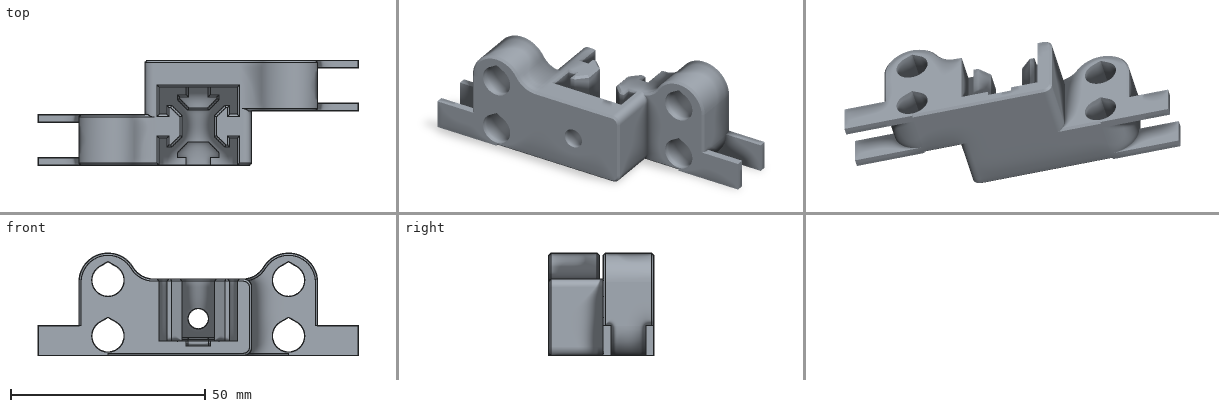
import cadquery as cq
import math

length = 82.4
depth = 27.0
body_width = 27.5
body_height = 19.7
body_corner_radius = 2.15
edge_chamfer = 0.6

ear_thickness = 13.0
ear_radius = 7.5
ear_x = 23.2
ear_height = 26.4
blend_radius = 6.3

tab_thickness = 2.0
tab_height = 7.7

teardrop_radius = 4.1
teardrop_roof_angle = math.radians(30)
teardrop_heights = (5.0, 19.4)

socket_size = 20.1
socket_floor = 3.7
socket_center_y = socket_size / 2
screw_hole_diameter = 5.2
screw_hole_height = 9.5

key_neck_width = 6.2
key_neck_length = 2.0
key_head_width = 10.7
key_shoulder_end = 3.2
key_length = 5.9
key_tip_width = 5.35
key_root = 2 * edge_chamfer
low_key_height = 1.0
key_recess_depth = 1.2


def front_plane(y=0.0):
    """XZ sketch plane at the given y; a negative extrusion runs toward +Y."""
    return cq.Workplane("XZ", origin=(0, y, 0))


def half_turn(shape):
    """Copy turned half a turn about the vertical axis through the part's middle."""
    return shape.rotate((0, depth / 2, 0), (0, depth / 2, 1), 180)


def make_block():
    """Central block with rounded long edges and chamfered end faces."""
    return (
        cq.Workplane("XY")
        .box(body_width, depth, body_height, centered=(True, False, False))
        .edges("|Y")
        .fillet(body_corner_radius)
        .faces("<Y or >Y")
        .chamfer(edge_chamfer)
    )


def make_ear_plate():
    """Front plate: the left ear blends into the block's top and right side."""
    ear_top_z = ear_height - ear_radius
    blend_z = body_height + blend_radius
    center_distance = ear_radius + blend_radius
    blend_angle = math.asin((blend_z - ear_top_z) / center_distance)
    blend_x = -ear_x + center_distance * math.cos(blend_angle)
    tangent_x = -ear_x + ear_radius * math.cos(blend_angle)
    tangent_z = ear_top_z + ear_radius * math.sin(blend_angle)
    mid_angle = (math.pi + blend_angle + 1.5 * math.pi) / 2
    blend_mid = (
        blend_x + blend_radius * math.cos(mid_angle),
        blend_z + blend_radius * math.sin(mid_angle),
    )
    diagonal = math.sqrt(0.5)
    right_x = body_width / 2
    corner_x = right_x - body_corner_radius
    corner_inset = body_corner_radius * (1 - diagonal)
    outline = (
        front_plane()
        .moveTo(-ear_x, 0)
        .threePointArc(
            (-ear_x - ear_radius * diagonal, ear_radius * (1 - diagonal)),
            (-ear_x - ear_radius, ear_radius),
        )
        .lineTo(-ear_x - ear_radius, ear_top_z)
        .threePointArc((-ear_x, ear_height), (tangent_x, tangent_z))
        .threePointArc(blend_mid, (blend_x, body_height))
        .lineTo(corner_x, body_height)
        .threePointArc(
            (right_x - corner_inset, body_height - corner_inset),
            (right_x, body_height - body_corner_radius),
        )
        .lineTo(right_x, body_corner_radius)
        .threePointArc((right_x - corner_inset, corner_inset), (corner_x, 0))
        .close()
    )
    return outline.extrude(-ear_thickness).faces("<Y or >Y").chamfer(edge_chamfer)


def make_tab(y):
    """Flat tab from the ear's axis to the end of the part."""
    return (
        cq.Workplane("XY")
        .box(length / 2 - ear_x, tab_thickness, tab_height, centered=False)
        .translate((-length / 2, y, 0))
    )


def make_teardrop(z):
    """Cutter for a round hole whose top rises to a shallow peak."""
    side_x = teardrop_radius * math.sin(teardrop_roof_angle)
    side_z = z + teardrop_radius * math.cos(teardrop_roof_angle)
    peak_z = z + teardrop_radius / math.cos(teardrop_roof_angle)
    return (
        front_plane()
        .moveTo(-ear_x - side_x, side_z)
        .threePointArc((-ear_x, z - teardrop_radius), (-ear_x + side_x, side_z))
        .lineTo(-ear_x, peak_z)
        .close()
        .extrude(-ear_thickness)
    )


def make_ear():
    """Ear plate with its tabs and teardrop holes, at the front left."""
    ear = make_ear_plate()
    for y in (0, ear_thickness - tab_thickness):
        ear = ear.union(make_tab(y))
    for z in teardrop_heights:
        ear = ear.cut(make_teardrop(z))
    return ear


def make_socket():
    """Cutter for the socket, flared at the top to chamfer its rim."""
    socket = (
        cq.Workplane("XY", origin=(0, 0, socket_floor))
        .rect(socket_size, 2 * socket_size)
        .extrude(body_height - socket_floor)
    )
    rim = (
        cq.Workplane("XY", origin=(0, 0, body_height))
        .rect(socket_size + 2 * edge_chamfer, 2 * (socket_size + edge_chamfer))
        .workplane(offset=-edge_chamfer)
        .rect(socket_size, 2 * socket_size)
        .loft(ruled=True)
    )
    return socket.union(rim)


def make_key(turn, bottom, height):
    """T-shaped prism on one socket wall; zero turn puts it on the front side."""
    half_profile = [
        (key_neck_width / 2, -key_root),
        (key_neck_width / 2, key_neck_length),
        (key_head_width / 2, key_neck_length),
        (key_head_width / 2, key_shoulder_end),
        (key_tip_width / 2, key_length),
    ]
    mirrored = [(-x, y) for x, y in reversed(half_profile)]
    return (
        cq.Workplane("XY", origin=(0, 0, bottom))
        .polyline(half_profile + mirrored)
        .close()
        .extrude(height)
        .rotate((0, socket_center_y, 0), (0, socket_center_y, 1), turn)
    )


def make_raised_key(turn, top):
    """Key standing on the socket floor with a chamfered top."""
    return make_key(turn, socket_floor, top - socket_floor).faces(">Z").chamfer(edge_chamfer)


ear = make_ear()
result = make_block().union(ear).union(half_turn(ear))

result = result.cut(make_socket())
for side_turn in (90, -90):
    result = result.union(make_raised_key(side_turn, body_height))
result = result.union(make_raised_key(180, socket_floor + low_key_height))
result = result.cut(make_key(0, socket_floor - key_recess_depth, key_recess_depth))

screw_hole = (
    front_plane(socket_size)
    .center(0, screw_hole_height)
    .circle(screw_hole_diameter / 2)
    .extrude(socket_size - depth)
)
result = result.cut(screw_hole)